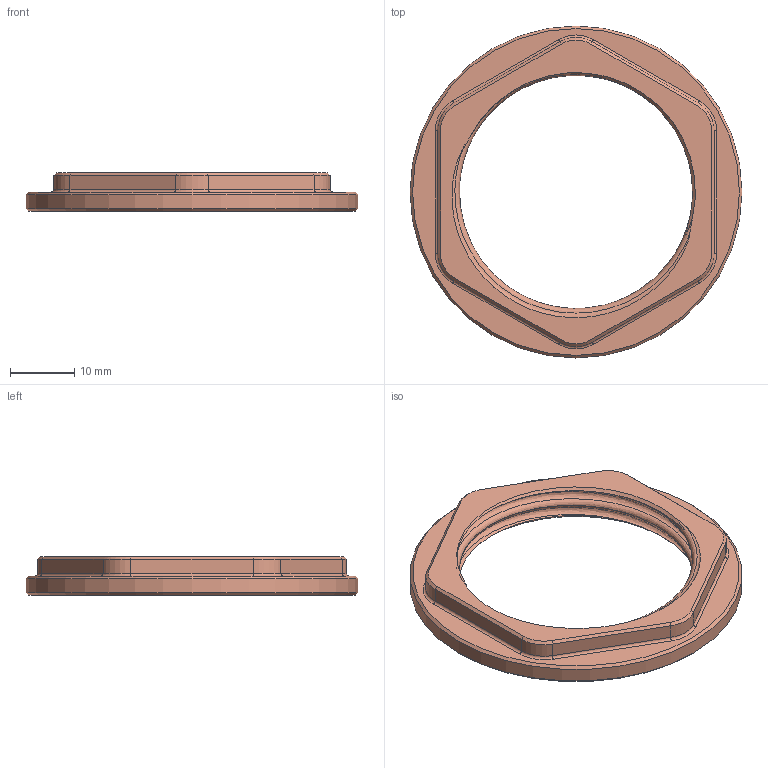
import cadquery as cq
import math

flange_diameter = 51.7
flange_height = 3.0
flange_chamfer = 0.4

total_height = 6.0
hex_sides = 6
hex_across_flats = 43.0
hex_corner_radius = 5.0
hex_chamfer = 0.4
hex_root_fillet = 0.4
edge_margin = 0.05

sleeve_radius = 20.5

pitch = 3.0
bore_radius = 18.15
root_radius = 19.6
crest_gap = 0.0005
root_direction = 250.0
bore_overlap = 0.3
plug_turns = 4
turns_below_top = 3

top_countersink_radius = 18.6
bottom_countersink_radius = 19.15


def flange():
    """Round disc with both rims chamfered."""
    disc = cq.Workplane("XY").circle(flange_diameter / 2).extrude(flange_height)
    return disc.edges().chamfer(flange_chamfer)


def hex_grip():
    """Hexagonal prism with rounded corners, two of which point along Y."""
    half_corner_angle = 180 / hex_sides
    across_corners = hex_across_flats / math.cos(math.radians(half_corner_angle))
    grip = (
        cq.Workplane("XY")
        .polygon(hex_sides, across_corners)
        .extrude(total_height)
        .rotate((0, 0, 0), (0, 0, 1), half_corner_angle)
        .edges("|Z")
        .fillet(hex_corner_radius)
    )
    return grip.faces(">Z").edges().chamfer(hex_chamfer)


def thread_plug():
    """Helical ridge that fills the thread groove; equal root and crest arcs meet tangentially."""
    depth = root_radius - bore_radius
    half_pitch = pitch / 2
    arc_radius = (depth**2 + half_pitch**2) / (4 * depth)
    crest_centre = bore_radius + arc_radius
    flank_radius = bore_radius + depth / 2

    def crest_point(from_crest):
        """Point of the crest arc at the given axial distance from the crest."""
        radius = crest_centre - math.sqrt(arc_radius**2 - from_crest**2)
        return radius, half_pitch - from_crest

    def mirrored(point):
        radius, height = point
        return radius, -height

    crest_start = crest_point(crest_gap)
    crest_mid = crest_point(half_pitch / 4)
    flank = (flank_radius, half_pitch / 2)
    inner_radius = bore_radius - bore_overlap
    inner = (inner_radius, crest_start[1])

    profile = (
        cq.Workplane("XZ")
        .moveTo(*mirrored(inner))
        .lineTo(*mirrored(crest_start))
        .threePointArc(mirrored(crest_mid), mirrored(flank))
        .threePointArc((root_radius, 0), flank)
        .threePointArc(crest_mid, crest_start)
        .lineTo(*inner)
        .close()
    )
    path = cq.Workplane(cq.Wire.makeHelix(pitch, plug_turns * pitch, bore_radius))
    ridge = profile.sweep(path, isFrenet=True)
    plug_start = total_height - turns_below_top * pitch
    return ridge.rotate((0, 0, 0), (0, 0, 1), root_direction).translate((0, 0, plug_start))


def countersink(radius, face_height, direction):
    """45-degree cone that starts at the given face and narrows in the given Z direction."""
    centre = cq.Vector(0, 0, face_height)
    axis = cq.Vector(0, 0, direction)
    return cq.Workplane(cq.Solid.makeCone(radius, 0, radius, centre, axis))


def nut_body():
    """Flange and grip joined by a fillet, bored out to receive the threaded sleeve."""
    body = flange().union(hex_grip())
    seam_reach = flange_diameter / 2 - flange_chamfer - edge_margin
    seam_box = cq.selectors.BoxSelector(
        (-seam_reach, -seam_reach, flange_height - edge_margin),
        (seam_reach, seam_reach, flange_height + edge_margin),
        boundingbox=True,
    )
    body = body.edges(seam_box).fillet(hex_root_fillet)
    return body.cut(cq.Workplane("XY").circle(sleeve_radius).extrude(total_height))


def threaded_sleeve():
    """Inner ring of the nut, carrying the thread and both countersinks."""
    sleeve = cq.Workplane("XY").circle(sleeve_radius).circle(bore_radius).extrude(total_height)
    sleeve = sleeve.cut(thread_plug(), clean=False)
    sleeve = sleeve.cut(countersink(top_countersink_radius, total_height, -1), clean=False)
    return sleeve.cut(countersink(bottom_countersink_radius, 0, 1), clean=False)


result = nut_body().union(threaded_sleeve())